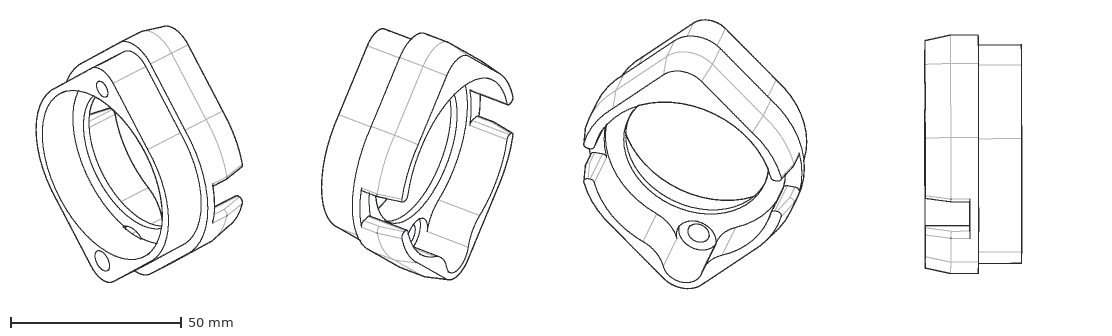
import cadquery as cq
import math

FLANGE_Y = 12.7
TAPER_Y = 20.8
BACK_Y = 28.3
FLOOR_FRONT_Y = 11.85
FLOOR_BACK_Y = 14.0
SLOT_Y = 15.3

FLANGE_WIDTH = 65.4
FLANGE_OVERHANG = 3.0
SPIGOT_HALF_WIDTH = FLANGE_WIDTH / 2 - FLANGE_OVERHANG
SCREW_OFFSET = 31.25
TIP_RADIUS = 6.9
SIDE_ARC_HALF_HEIGHT = 20.65
TAPER_INSET = 1.65

FRONT_BORE_DIAMETER = 53.8
FLOOR_HOLE_DIAMETER = 44.25
BACK_BORE_RADIUS = 27.7
BLIND_HOLE_DIAMETER = 5.1
BLIND_HOLE_DEPTH = 9.9
SCREW_HOLE_DIAMETER = 6.5
COUNTERBORE_DIAMETER = 12.1
COUNTERBORE_FLOOR_Y = 11.5
BLEND_RADIUS = 11.5

SLOT_HEIGHT = 11.0
SLOT_EDGE_RADIUS = 1.3

SELECTION_MARGIN = 0.1


def plane_at(y):
    """Sketch plane at depth y: local x is X, local y is Z, normal is -Y."""
    return cq.Workplane("XZ", origin=(0, y, 0))


def cylinder(diameter, y_start, y_end, z=0):
    return plane_at(y_start).center(0, z).circle(diameter / 2).extrude(y_start - y_end)


def outline(workplane, offset):
    """Rhombus outline grown outward from the spigot outline by offset."""
    diagonal = math.sqrt(0.5)
    radius = TIP_RADIUS + offset
    tip_x = radius * diagonal
    tip_z = SCREW_OFFSET + tip_x
    top_z = SCREW_OFFSET + radius
    side_z = SIDE_ARC_HALF_HEIGHT + offset * diagonal
    side_x = tip_x + tip_z - side_z
    half_width = SPIGOT_HALF_WIDTH + offset
    return (
        workplane.moveTo(-tip_x, tip_z)
        .threePointArc((0, top_z), (tip_x, tip_z))
        .lineTo(side_x, side_z)
        .threePointArc((half_width, 0), (side_x, -side_z))
        .lineTo(tip_x, -tip_z)
        .threePointArc((0, -top_z), (-tip_x, -tip_z))
        .lineTo(-side_x, -side_z)
        .threePointArc((-half_width, 0), (-side_x, side_z))
        .close()
    )


def body():
    spigot = outline(plane_at(0), 0).extrude(-FLANGE_Y)
    flange = outline(plane_at(FLANGE_Y), FLANGE_OVERHANG).extrude(FLANGE_Y - TAPER_Y)
    taper_base = outline(plane_at(TAPER_Y), FLANGE_OVERHANG)
    taper_end = taper_base.workplane(offset=TAPER_Y - BACK_Y)
    taper = outline(taper_end, FLANGE_OVERHANG - TAPER_INSET).loft(ruled=True)
    return spigot.union(flange).union(taper)


def throat():
    """Opening between back bore and counterbore, its flanks rounded by two blend arcs."""
    bore_reach = BACK_BORE_RADIUS + BLEND_RADIUS
    pocket_radius = COUNTERBORE_DIAMETER / 2
    pocket_reach = pocket_radius + BLEND_RADIUS
    blend_z = -(bore_reach**2 - pocket_reach**2 + SCREW_OFFSET**2) / (2 * SCREW_OFFSET)
    blend_x = math.sqrt(bore_reach**2 - blend_z**2)
    bore_x = blend_x * BACK_BORE_RADIUS / bore_reach
    bore_z = blend_z * BACK_BORE_RADIUS / bore_reach
    pocket_x = blend_x * pocket_radius / pocket_reach
    pocket_z = -SCREW_OFFSET + (blend_z + SCREW_OFFSET) * pocket_radius / pocket_reach
    return (
        plane_at(FLOOR_BACK_Y)
        .moveTo(-bore_x, bore_z)
        .lineTo(bore_x, bore_z)
        .radiusArc((pocket_x, pocket_z), -BLEND_RADIUS)
        .lineTo(-pocket_x, pocket_z)
        .radiusArc((-bore_x, bore_z), -BLEND_RADIUS)
        .close()
        .extrude(FLOOR_BACK_Y - BACK_Y)
    )


def cut_openings(part):
    part = part.cut(cylinder(FRONT_BORE_DIAMETER, 0, FLOOR_FRONT_Y))
    part = part.cut(cylinder(FLOOR_HOLE_DIAMETER, 0, BACK_Y))
    part = part.cut(cylinder(2 * BACK_BORE_RADIUS, FLOOR_BACK_Y, BACK_Y))
    part = part.cut(cylinder(BLIND_HOLE_DIAMETER, 0, BLIND_HOLE_DEPTH, SCREW_OFFSET))
    part = part.cut(cylinder(SCREW_HOLE_DIAMETER, 0, BACK_Y, -SCREW_OFFSET))
    part = part.cut(cylinder(COUNTERBORE_DIAMETER, COUNTERBORE_FLOOR_Y, BACK_Y, -SCREW_OFFSET))
    return part.cut(throat())


def cut_side_slots(part):
    """Cut a slot through both side walls and round its long edges inside and out."""
    slot_depth = BACK_Y - SLOT_Y
    cutter = cq.Workplane("XY").box(FLANGE_WIDTH, slot_depth, SLOT_HEIGHT)
    part = part.cut(cutter.translate((0, SLOT_Y + slot_depth / 2, 0)))
    slot_edges = cq.selectors.BoxSelector(
        (-FLANGE_WIDTH, SLOT_Y + SELECTION_MARGIN, -SLOT_HEIGHT / 2 - SELECTION_MARGIN),
        (FLANGE_WIDTH, BACK_Y - SELECTION_MARGIN, SLOT_HEIGHT / 2 + SELECTION_MARGIN),
    )
    return part.edges(slot_edges).edges("not(#Y)").fillet(SLOT_EDGE_RADIUS)


result = cut_side_slots(cut_openings(body()))